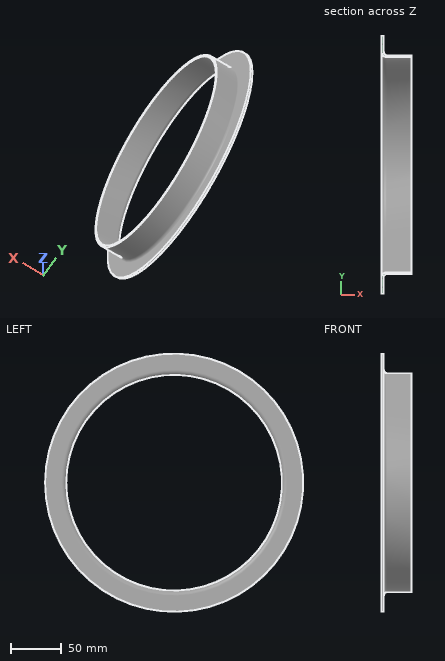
import cadquery as cq

flange_diameter = 258.0
flange_thickness = 2.5
collar_outer_diameter = 219.1
collar_wall = 2.0
length = 30.0
mouth_radius = 5.0
root_fillet_radius = 3.0

flange_radius = flange_diameter / 2
outer_radius = collar_outer_diameter / 2
bore_radius = outer_radius - collar_wall
mouth_edge_radius = bore_radius + mouth_radius
fillet_edge_radius = outer_radius + root_fillet_radius
fillet_end_x = flange_thickness + root_fillet_radius


def flanged_collar():
    """Revolve the L-shaped wall section about the X axis."""
    section = (
        cq.Workplane("XY")
        .moveTo(0, flange_radius)
        .lineTo(0, mouth_edge_radius)
        .radiusArc((mouth_radius, bore_radius), -mouth_radius)
        .lineTo(length, bore_radius)
        .lineTo(length, outer_radius)
        .lineTo(fillet_end_x, outer_radius)
        .radiusArc((flange_thickness, fillet_edge_radius), root_fillet_radius)
        .lineTo(flange_thickness, flange_radius)
        .close()
    )
    return section.revolve(360, (0, 0, 0), (1, 0, 0))


result = flanged_collar()